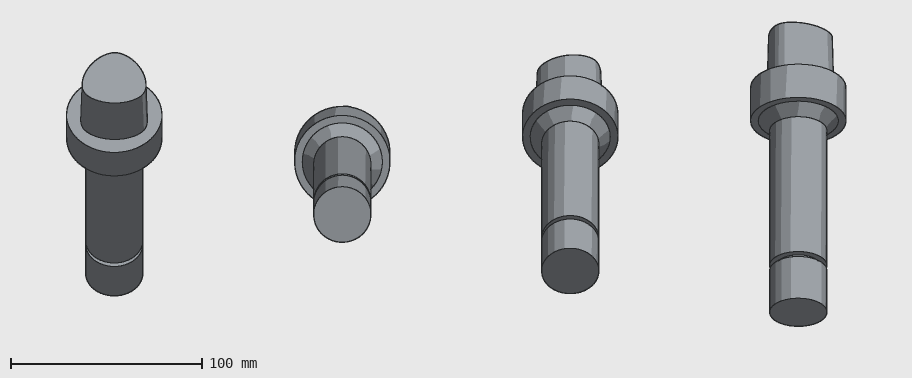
import cadquery as cq
import math

total_height = 165.0
coupling_height = 30.0
flange_height = 20.0
collar_height = 6.0
head_height = 25.0
groove_width = 3.0

flange_diameter = 50.0
shank_diameter = 30.0
neck_diameter = 23.0

coupling_base_width = 35.0
coupling_taper = 1 / 20
lobe_height = 1.12
points_per_lobe = 16

bottom_z = -total_height / 2
head_top_z = bottom_z + head_height
shank_bottom_z = head_top_z + groove_width
coupling_base_z = total_height / 2 - coupling_height
flange_bottom_z = coupling_base_z - flange_height
collar_bottom_z = flange_bottom_z - collar_height
coupling_top_width = coupling_base_width - coupling_taper * coupling_height


def cylinder(diameter, low_z, high_z):
    return cq.Workplane("XY").workplane(offset=low_z).circle(diameter / 2).extrude(high_z - low_z)


def lobed_point(width, angle):
    """Point of the constant-width curve, with one lobe pointing along -Y."""
    along_lobe = width / 2 * math.cos(angle) + lobe_height * (2 * math.cos(2 * angle) - math.cos(4 * angle))
    across_lobe = width / 2 * math.sin(angle) - lobe_height * (2 * math.sin(2 * angle) + math.sin(4 * angle))
    return across_lobe, -along_lobe


def lobed_wire(width, z):
    count = 3 * points_per_lobe
    points = [cq.Vector(*lobed_point(width, 2 * math.pi * i / count), z) for i in range(count)]
    return cq.Wire.assembleEdges([cq.Edge.makeSpline(points, periodic=True)])


def make_coupling():
    base = lobed_wire(coupling_base_width, coupling_base_z)
    top = lobed_wire(coupling_top_width, total_height / 2)
    return cq.Workplane(cq.Solid.makeLoft([base, top], True))


def make_collar():
    """45 degree cone that widens from the shank up to the flange."""
    shank_radius = shank_diameter / 2
    cone = cq.Solid.makeCone(
        shank_radius,
        shank_radius + collar_height,
        collar_height,
        pnt=cq.Vector(0, 0, collar_bottom_z),
    )
    return cq.Workplane(cone)


def make_holder():
    neck = cylinder(neck_diameter, head_top_z, shank_bottom_z)
    shank = cylinder(shank_diameter, shank_bottom_z, collar_bottom_z)
    flange = cylinder(flange_diameter, flange_bottom_z, coupling_base_z)
    return neck.union(shank).union(make_collar()).union(flange).union(make_coupling())


def make_head():
    """Plain round head that sits against the end of the neck."""
    return cylinder(shank_diameter, bottom_z, head_top_z)


holder = make_holder()
head = make_head()

result = cq.Compound.makeCompound([holder.solids().val(), head.val()])